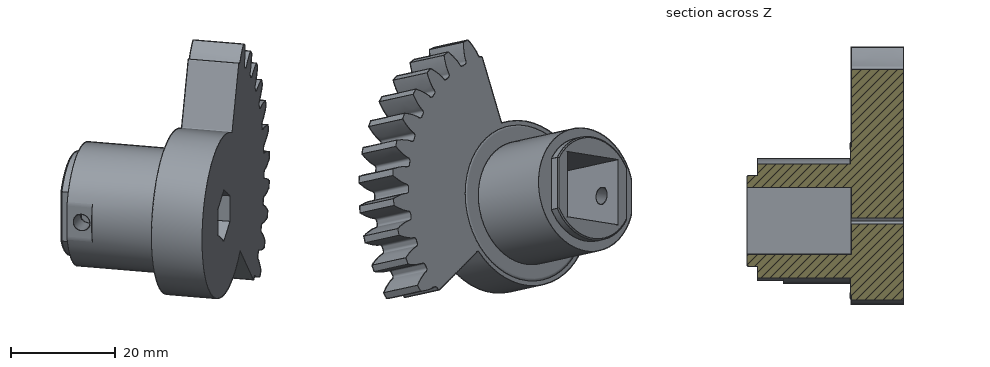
import cadquery as cq
import math


total_length = 30.0
tip_length = 2.0
plate_thickness = 10.05
collar_height = 0.2
plate_start = total_length - plate_thickness

hub_radius = 11.95
tip_radius = 10.05
tip_flat_width = 17.45
tip_chamfer = 0.25
collar_radius = 15.05
collar_round_width = 0.45
disc_radius = 15.95

square_width = 12.7
square_depth = plate_start
hex_across_flats = 8.85

flat_length = 5.0
flat_distance = 11.45
flat_edge_round = 2.1
screw_hole_diameter = 3.25
screw_hole_x = 4.9

teeth_per_turn = 36
tooth_count = 11
pitch_radius = 31.5
dedendum_factor = 1.25
pressure_angle = math.radians(20)
sector_mid_angle = 13
sector_angle = 110.6
teeth_mid_angle = 13.3
root_fillet = 0.55
sector_corner_round = 0.3
sector_base_fillet = 0.2
module = 2 * pitch_radius / teeth_per_turn
outer_radius = pitch_radius + module
root_radius = pitch_radius - dedendum_factor * module
base_radius = pitch_radius * math.cos(pressure_angle)
pitch_angle = 360 / teeth_per_turn
sector_start = sector_mid_angle - sector_angle / 2
first_gap_angle = teeth_mid_angle - tooth_count * pitch_angle / 2

overcut = 0.5


def polar(radius, angle):
    """Point in the YZ plane; the angle is in radians from +Y towards +Z."""
    return (radius * math.cos(angle), radius * math.sin(angle))


def mirrored(points):
    """The same points reflected across the Y axis, in reverse order."""
    return [(y, -z) for y, z in reversed(points)]


def cylinder(radius, start, length):
    return cq.Workplane("YZ", origin=(start, 0, 0)).circle(radius).extrude(length)


def involute(angle):
    return math.tan(angle) - angle


def make_tooth_gap():
    """Cutter for one tooth gap centred on +Y: involute flanks and a filleted root."""
    half_gap_at_pitch = math.radians(pitch_angle) / 4
    end_radius = outer_radius + overcut
    flank_steps = 5
    flank = []
    for step in range(flank_steps + 1):
        radius = base_radius + (end_radius - base_radius) * step / flank_steps
        roll = involute(math.acos(base_radius / radius)) - involute(pressure_angle)
        flank.append(polar(radius, half_gap_at_pitch + roll))
    root_half_angle = half_gap_at_pitch - involute(pressure_angle)
    root_corner = polar(root_radius, root_half_angle)
    gap = (
        cq.Workplane("YZ", origin=(plate_start, 0, 0))
        .moveTo(*root_corner)
        .lineTo(*flank[0])
        .spline(flank[1:], includeCurrent=True)
        .lineTo(*mirrored(flank)[0])
        .spline(mirrored(flank)[1:], includeCurrent=True)
        .lineTo(root_corner[0], -root_corner[1])
        .threePointArc((root_radius, 0), root_corner)
        .close()
        .extrude(plate_thickness)
    )
    return gap.edges("|X").edges("<Y").fillet(root_fillet)


def round_plate_edge(plate, radius, angle, size):
    """Fillet the edge along X that lies nearest to the given polar position."""
    middle = (plate_start + plate_thickness / 2, *polar(radius, angle))
    return plate.edges(cq.NearestToPointSelector(middle)).fillet(size)


def make_plate():
    """Disc with the toothed sector; the sector sides pass close to the middle of its end gaps."""
    start = math.radians(sector_start)
    end = start + math.radians(sector_angle)
    sector = (
        cq.Workplane("YZ", origin=(plate_start, 0, 0))
        .lineTo(*polar(outer_radius, start))
        .threePointArc(polar(outer_radius, (start + end) / 2), polar(outer_radius, end))
        .close()
        .extrude(plate_thickness)
    )
    plate = cylinder(disc_radius, plate_start, plate_thickness).union(sector)
    gap = make_tooth_gap()
    for index in range(tooth_count + 1):
        plate = plate.cut(gap.rotate((0, 0, 0), (1, 0, 0), first_gap_angle + index * pitch_angle))
    for side in (start, end):
        plate = round_plate_edge(plate, disc_radius, side, sector_base_fillet)
        plate = round_plate_edge(plate, root_radius, side, sector_corner_round)
    return plate


def make_collar():
    """Low collar on the plate whose rim is an arc tangent to its flat face."""
    face_x = plate_start - collar_height
    face_radius = collar_radius - collar_round_width
    arc_radius = (collar_round_width**2 + collar_height**2) / (2 * collar_height)
    half_sweep = math.asin(collar_round_width / arc_radius) / 2
    arc_middle = (
        face_x + arc_radius * (1 - math.cos(half_sweep)),
        face_radius + arc_radius * math.sin(half_sweep),
    )
    return (
        cq.Workplane("XY")
        .moveTo(face_x, 0)
        .lineTo(face_x, face_radius)
        .threePointArc(arc_middle, (plate_start, collar_radius))
        .lineTo(plate_start, 0)
        .close()
        .revolve(360, (0, 0, 0), (1, 0, 0))
    )


def make_tip():
    """Chamfered hub tip with a flat on each Y side."""
    tip = cylinder(tip_radius, 0, tip_length)
    slab = cq.Workplane("XY").box(2 * tip_length, tip_flat_width, 2 * tip_radius)
    return tip.intersect(slab).faces("<X").chamfer(tip_chamfer)


def make_hub_flat():
    """Cutter for the local flat, blended into the hub by tangent rounds at both edges."""
    round_y = flat_distance - flat_edge_round
    round_z = math.sqrt((hub_radius - flat_edge_round) ** 2 - round_y**2)
    blend_angle = math.atan2(round_z, round_y)
    touch_y, touch_z = polar(hub_radius, blend_angle)
    middle_y = round_y + flat_edge_round * math.cos(blend_angle / 2)
    middle_z = round_z + flat_edge_round * math.sin(blend_angle / 2)
    outside_y = hub_radius + overcut
    return (
        cq.Workplane("YZ", origin=(tip_length, 0, 0))
        .moveTo(-flat_distance, -round_z)
        .lineTo(-flat_distance, round_z)
        .threePointArc((-middle_y, middle_z), (-touch_y, touch_z))
        .lineTo(-outside_y, touch_z)
        .lineTo(-outside_y, -touch_z)
        .lineTo(-touch_y, -touch_z)
        .threePointArc((-middle_y, -middle_z), (-flat_distance, -round_z))
        .close()
        .extrude(flat_length)
    )


def make_screw_hole():
    """Radial hole from the flat into the square bore."""
    return (
        cq.Workplane("XZ", origin=(screw_hole_x, 0, 0))
        .circle(screw_hole_diameter / 2)
        .extrude(hub_radius + overcut)
    )


def make_bores():
    """Square socket from the tip face, then a hexagon through the plate with corners up and down."""
    square = cq.Workplane("YZ").rect(square_width, square_width).extrude(square_depth)
    hexagon = (
        cq.Workplane("YZ")
        .polygon(6, hex_across_flats / math.cos(math.pi / 6))
        .extrude(total_length)
        .rotate((0, 0, 0), (1, 0, 0), 90)
    )
    return square.union(hexagon)


hub = cylinder(hub_radius, tip_length, plate_start - tip_length).cut(make_hub_flat())
body = make_plate().union(make_collar()).union(hub).union(make_tip())
result = body.cut(make_bores()).cut(make_screw_hole())